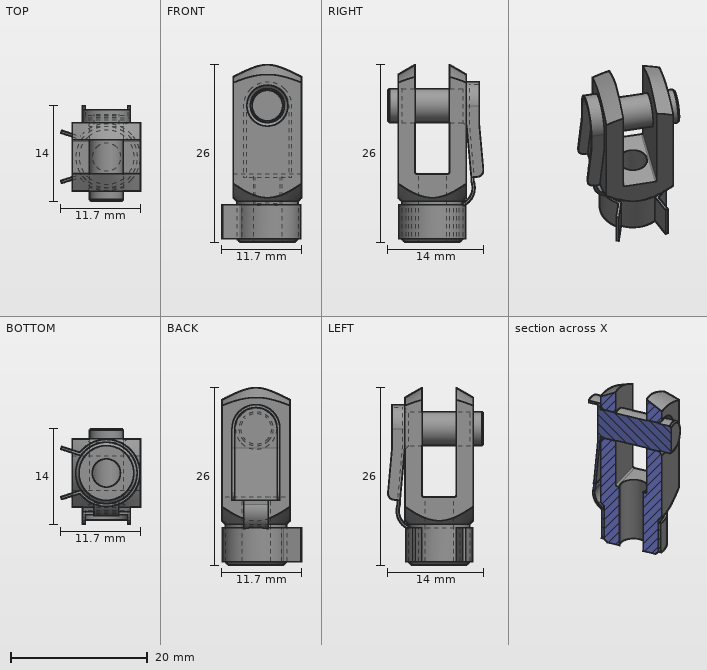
import cadquery as cq
import math

fork_width = 10.0
half_width = fork_width / 2
total_height = 26.0
slot_width = 5.0
slot_floor = 10.0
slot_fillet = 0.23
top_slope = math.radians(30)
neck_radius = 9.0 / 2
neck_top = 6.0
neck_chamfer = 0.5
thread_diameter = 4.13

pin_diameter = 5.0
pin_height = 20.0
pin_tip_y = -6.5
pin_chamfer = 0.25
countersink_diameter = 6.0

sheet = 0.42
band_radius = neck_radius + sheet
band_bottom = neck_chamfer
band_height = 5.0
tab_tip_x = -6.68
tab_tip_y = 3.48
tab_length = 3.07
tab_bend_radius = 0.2
tab_angle = math.radians(18)
cover_radius = 3.5
cover_depth = 1.9
cover_bottom = 9.55
cover_bend = 17.15
cover_lean = math.radians(5.2)
cover_corner_radius = 1.0
strip_width = 3.65
strip_arc_y = 3.38
strip_arc_z = 7.95
strip_outer_radius = 2.89
strip_start_angle = math.radians(19)
strip_end_angle = math.radians(-68)


def y_cylinder(diameter, y_start, y_end):
    """Cylinder on the pin axis between two Y positions."""
    return (
        cq.Workplane("XZ", origin=(0, y_start, pin_height))
        .circle(diameter / 2)
        .extrude(y_start - y_end)
    )


def fork_blank():
    """Square bar trimmed by cones at both ends, with a round neck below."""
    corner_radius = half_width * math.sqrt(2)
    apex_z = total_height + slot_width / 2 * math.tan(top_slope)
    envelope = (
        cq.Workplane("XZ")
        .moveTo(0, neck_top)
        .lineTo(neck_radius, neck_top)
        .lineTo(corner_radius, neck_top + corner_radius - neck_radius)
        .lineTo(corner_radius, apex_z - corner_radius * math.tan(top_slope))
        .lineTo(0, apex_z)
        .close()
        .revolve(360, (0, 0), (0, 1))
    )
    bar = cq.Workplane("XY").rect(fork_width, fork_width).extrude(apex_z)
    neck = cq.Workplane("XY").circle(neck_radius).extrude(neck_top).faces("<Z").chamfer(neck_chamfer)
    return bar.intersect(envelope).union(neck)


def fork_slot():
    """Slot open at the top, with small fillets along its floor."""
    return (
        cq.Workplane("XY", origin=(0, 0, slot_floor))
        .rect(2 * fork_width, slot_width)
        .extrude(total_height)
        .edges("|X and <Z")
        .fillet(slot_fillet)
    )


def countersink(side):
    """Conical mouth of the pin hole on the face at side * half_width."""
    depth = (countersink_diameter - pin_diameter) / 2
    return cq.Workplane(
        cq.Solid.makeCone(
            countersink_diameter / 2,
            pin_diameter / 2,
            depth,
            cq.Vector(0, side * half_width, pin_height),
            cq.Vector(0, -side, 0),
        )
    )


def make_fork():
    body = fork_blank().cut(fork_slot())
    body = body.cut(y_cylinder(pin_diameter, -half_width, half_width))
    for side in (-1, 1):
        body = body.cut(countersink(side))
    thread_bore = cq.Workplane("XY").circle(thread_diameter / 2).extrude(slot_floor)
    return body.cut(thread_bore)


def clip_tab(side):
    """Straight tab flaring outward from one end of the band."""
    along = (math.cos(tab_angle), -math.sin(tab_angle))
    across = (math.sin(tab_angle), math.cos(tab_angle))
    inner_tip = (tab_tip_x, tab_tip_y)
    inner_root = (tab_tip_x + tab_length * along[0], tab_tip_y + tab_length * along[1])
    corners = [inner_tip, inner_root]
    for x, y in (inner_root, inner_tip):
        corners.append((x + sheet * across[0], y + sheet * across[1]))
    return (
        cq.Workplane("XY", origin=(0, 0, band_bottom))
        .polyline([(x, side * y) for x, y in corners])
        .close()
        .extrude(band_height)
    )


def clip_band():
    """Open ring around the neck, with a tab at each end of its gap."""
    root_x = tab_tip_x + tab_length * math.cos(tab_angle)
    root_y = tab_tip_y - tab_length * math.sin(tab_angle)
    gap_reach = 2
    gap = (
        cq.Workplane("XY", origin=(0, 0, band_bottom))
        .moveTo(0, 0)
        .lineTo(gap_reach * root_x, gap_reach * root_y)
        .lineTo(gap_reach * root_x, -gap_reach * root_y)
        .close()
        .extrude(band_height)
    )
    band = cq.Workplane("XY", origin=(0, 0, band_bottom)).circle(band_radius).extrude(band_height).cut(gap)
    for side in (-1, 1):
        band = band.union(clip_tab(side))
    foot = tab_tip_x * math.sin(tab_angle) + tab_tip_y * math.cos(tab_angle) + sheet
    reach = math.sqrt(band_radius**2 - foot**2)
    bend_x = foot * math.sin(tab_angle) - reach * math.cos(tab_angle)
    bend_y = foot * math.cos(tab_angle) + reach * math.sin(tab_angle)
    middle_z = band_bottom + band_height / 2
    for side in (-1, 1):
        bend_line = cq.selectors.NearestToPointSelector((bend_x, side * bend_y, middle_z))
        band = band.edges("|Z").edges(bend_line).fillet(tab_bend_radius)
    return band


def cover_outline(radius):
    """Plate outline with a round top centred on the pin, extruded along +Y."""
    return (
        cq.Workplane("XZ")
        .moveTo(-radius, 0)
        .lineTo(-radius, pin_height)
        .threePointArc((0, pin_height + radius), (radius, pin_height))
        .lineTo(radius, 0)
        .close()
        .extrude(-2 * fork_width)
    )


def cover_profile(y_inner, y_outer):
    """Side profile, upright at the pin and leaning outward below the bend."""
    lean_shift = (cover_bend - cover_bottom) * math.tan(cover_lean)
    return (
        cq.Workplane("YZ")
        .moveTo(y_inner, total_height)
        .lineTo(y_inner, cover_bend)
        .lineTo(y_inner + lean_shift, cover_bottom)
        .lineTo(y_outer + lean_shift, cover_bottom)
        .lineTo(y_outer, cover_bend)
        .lineTo(y_outer, total_height)
        .close()
        .extrude(fork_width, both=True)
    )


def clip_cover():
    """Channel with its web against the fork and a rim facing away from it."""
    shell = cover_profile(half_width, half_width + cover_depth).intersect(cover_outline(cover_radius))
    shell = shell.edges("|X and <Z and >Y").fillet(cover_corner_radius)
    pocket = cover_profile(half_width + sheet, half_width + 2 * cover_depth)
    return shell.cut(pocket.intersect(cover_outline(cover_radius - sheet)))


def strip_point(radius, angle):
    """Point (Y, Z) on an arc of the spring strip."""
    return (strip_arc_y + radius * math.cos(angle), strip_arc_z + radius * math.sin(angle))


def clip_strip():
    """Curved spring strip from the foot of the cover to the band."""
    inner_radius = strip_outer_radius - sheet
    middle_angle = (strip_start_angle + strip_end_angle) / 2
    outer_start = strip_point(strip_outer_radius, strip_start_angle)
    inner_start = (outer_start[0] - sheet, outer_start[1])
    return (
        cq.Workplane("YZ")
        .moveTo(outer_start[0], cover_bottom)
        .lineTo(*outer_start)
        .threePointArc(
            strip_point(strip_outer_radius, middle_angle),
            strip_point(strip_outer_radius, strip_end_angle),
        )
        .lineTo(*strip_point(inner_radius, strip_end_angle))
        .threePointArc(strip_point(inner_radius, middle_angle), inner_start)
        .lineTo(inner_start[0], cover_bottom)
        .close()
        .extrude(strip_width / 2, both=True)
    )


def make_clip():
    """Pin, cover, spring strip and band formed as one piece."""
    pin = y_cylinder(pin_diameter, pin_tip_y, half_width + sheet).faces("<Y").chamfer(pin_chamfer)
    neck_space = cq.Workplane("XY").circle(neck_radius).extrude(neck_top)
    collar = clip_band().union(clip_strip()).cut(neck_space)
    return collar.union(clip_cover()).union(pin)


fork = make_fork()
clip = make_clip()
result = cq.Compound.makeCompound([fork.val(), clip.val()])